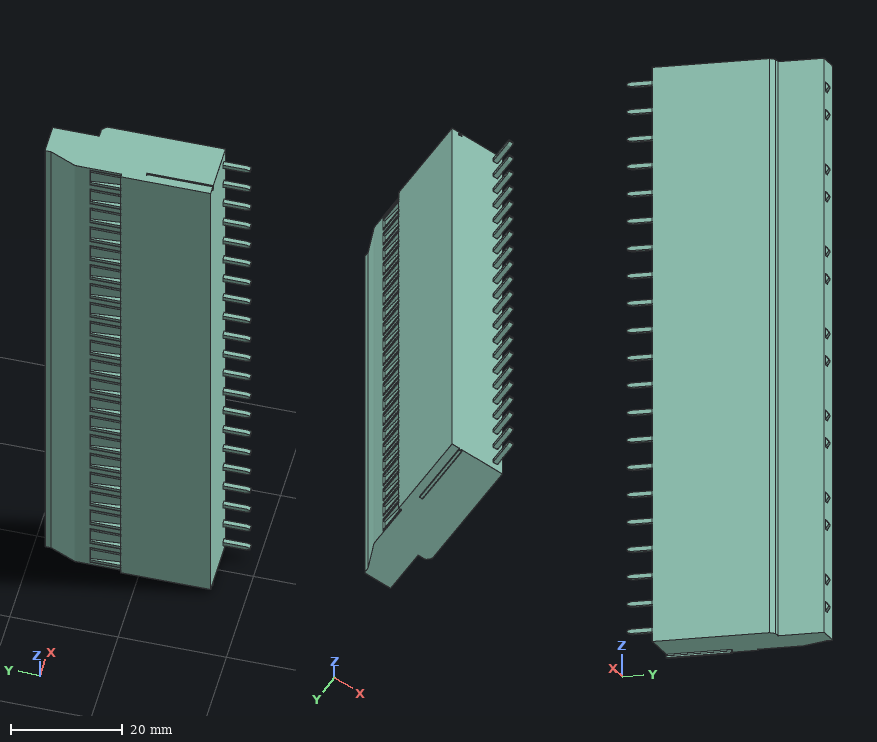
import cadquery as cq

overall_height = 107.3
pole_count = 21
rib_height = 0.6
body_height = overall_height - rib_height
pitch = body_height / pole_count

body_width = 11.0
body_depth = 31.3
head_left = 2.8
head_right = 8.6
slope_start = 25.2
slope_end = 30.1
slope_round = 0.9
head_round = 0.3
step_inset = 0.6
step_depth = 16.6
shoulder_depth = 22.7
shoulder_chamfer = 0.9

pin_width = 1.0
pin_height = 0.9
pin_length = 5.0
pin_embed = 1.1
pin_center_x = 9.4
pin_tip_length = 0.8
pin_tip_thickness = 0.4

recess_end = 22.4
outer_recess_height = 3.9
outer_recess_depth = 0.1
inner_recess_height = 2.8
inner_step_depth = 1.0
inner_far_depth = 0.4

key_center_x = 1.8
key_length = 12.2
key_neck_width = 0.3
key_flare_height = 0.3
key_head_width = 0.6
groove_depth = 0.9

peg_height = 0.6
peg_left = 6.5
peg_length = 1.2
peg_slant = 0.3
peg_thickness = 1.7
poles_per_group = 3


def make_body():
    outline = [
        (0, 0),
        (body_width, 0),
        (body_width, shoulder_depth - shoulder_chamfer),
        (body_width - shoulder_chamfer, shoulder_depth),
        (head_right, shoulder_depth),
        (head_right, body_depth),
        (head_left, body_depth),
        (head_left, slope_end),
        (step_inset, slope_start),
        (step_inset, step_depth),
        (0, step_depth),
    ]
    body = cq.Workplane("XY").polyline(outline).close().extrude(body_height)
    middle = body_height / 2
    slope_edge = cq.selectors.NearestToPointSelector((step_inset, slope_start, middle))
    head_edge = cq.selectors.NearestToPointSelector((head_left, body_depth, middle))
    body = body.edges(slope_edge).fillet(slope_round)
    return body.edges(head_edge).fillet(head_round)


def make_recess(center_z, height, step_end_depth, far_end_depth):
    outline = [
        (step_inset, step_depth),
        (step_inset + step_end_depth, step_depth),
        (step_inset + far_end_depth, recess_end),
        (step_inset, recess_end),
    ]
    return (
        cq.Workplane("XY")
        .polyline(outline)
        .close()
        .extrude(height / 2, both=True)
        .translate((0, 0, center_z))
    )


def make_pin(center_z):
    half = pin_height / 2
    tip_half = pin_tip_thickness / 2
    side = [
        (pin_embed, -half),
        (pin_embed, half),
        (pin_tip_length - pin_length, half),
        (-pin_length, tip_half),
        (-pin_length, -tip_half),
        (pin_tip_length - pin_length, -half),
    ]
    return (
        cq.Workplane("YZ")
        .polyline(side)
        .close()
        .extrude(pin_width / 2, both=True)
        .translate((pin_center_x, 0, center_z))
    )


def make_peg(center_z):
    half = peg_thickness / 2
    ridge = (
        cq.Workplane("YZ")
        .polyline([(0, -half), (0, half), (peg_height, 0)])
        .close()
        .extrude(peg_length)
    )
    slanted_end = (
        cq.Workplane("XY")
        .polyline([(0, 0), (peg_slant, peg_height), (0, peg_height)])
        .close()
        .extrude(half, both=True)
    )
    return ridge.cut(slanted_end).translate((peg_left, body_depth, center_z))


def make_key_bar(height, top_z):
    neck_half = key_neck_width / 2
    head_half = key_head_width / 2
    head_z = -key_flare_height
    section = [
        (-neck_half, 0),
        (neck_half, 0),
        (head_half, head_z),
        (head_half, -height),
        (-head_half, -height),
        (-head_half, head_z),
    ]
    bar = cq.Workplane("XZ").polyline(section).close().extrude(-key_length)
    return bar.translate((key_center_x, 0, top_z))


result = make_body()
result = result.cut(make_key_bar(groove_depth, body_height))
result = result.union(make_key_bar(rib_height, 0))

for pole in range(pole_count):
    pole_z = (pole + 0.5) * pitch
    outer_recess = make_recess(pole_z, outer_recess_height, outer_recess_depth, outer_recess_depth)
    inner_recess = make_recess(pole_z, inner_recess_height, inner_step_depth, inner_far_depth)
    result = result.cut(outer_recess).cut(inner_recess)
    result = result.union(make_pin(pole_z))

for boundary in range(1, pole_count):
    if boundary % poles_per_group != 0:
        result = result.union(make_peg(boundary * pitch))